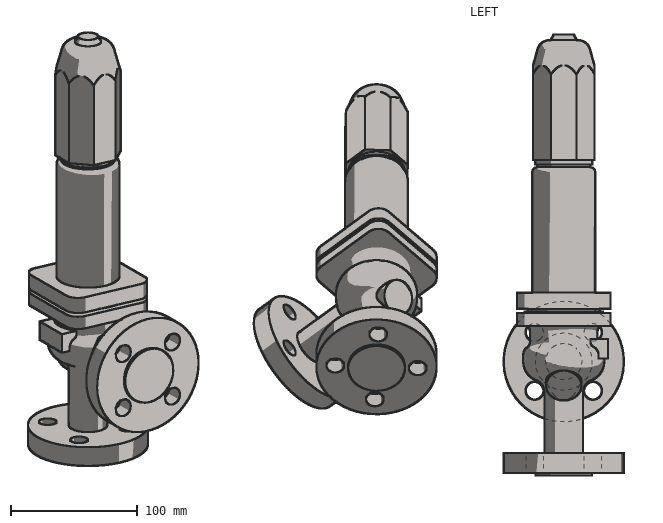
import cadquery as cq
import math

TOTAL_HEIGHT = 348.2
TOTAL_LENGTH = 137.5

FLANGE_DIAMETER = 95.0
FLANGE_THICKNESS = 16.0
RAISED_FACE_DIAMETER = 45.0
RAISED_FACE_HEIGHT = 2.0
BOLT_CIRCLE_DIAMETER = 65.0
BOLT_HOLE_DIAMETER = 14.0
BOLT_COUNT = 4
OUTLET_FACE_X = TOTAL_LENGTH - FLANGE_DIAMETER / 2
OUTLET_AXIS_Z = OUTLET_FACE_X

INLET_PIPE_RADIUS = 15.3
OUTLET_PIPE_RADIUS = 28.5 / 2

BULB_RADIUS = 32.0
BULB_LOWER_ROUND = 15.5
BULB_UPPER_ROUND = 7.5
BULB_STRAIGHT_HEIGHT = 5.2
INLET_BLEND = 10.5
NECK_RADIUS = 26.8
NECK_BLEND = 4.0

PLATE_SIDE = 73.8
PLATE_CORNER_RADIUS = 11.0
LOWER_PLATE_BOTTOM = 118.0
LOWER_PLATE_THICKNESS = 10.5
GASKET_RADIUS = 31.0
GASKET_HEIGHT = 1.0
SPIGOT_RADIUS = 28.5
SPIGOT_HEIGHT = 2.0
UPPER_PLATE_THICKNESS = 13.0
LOWER_PLATE_TOP = LOWER_PLATE_BOTTOM + LOWER_PLATE_THICKNESS
GASKET_TOP = LOWER_PLATE_TOP + GASKET_HEIGHT
UPPER_PLATE_BOTTOM = GASKET_TOP + SPIGOT_HEIGHT
UPPER_PLATE_TOP = UPPER_PLATE_BOTTOM + UPPER_PLATE_THICKNESS

HOUSING_DIAMETER = 49.8
HOUSING_RADIUS = HOUSING_DIAMETER / 2
HOUSING_TOP = 243.5
HOUSING_ROUND = 4.0
GROOVE_RADIUS = HOUSING_RADIUS - HOUSING_ROUND

CAP_FLATS = 48.7
CAP_SIDES = 8
CAP_BOTTOM = 249.0
CAP_COLLAR_RADIUS = 22.5
CAP_COLLAR_BOTTOM = 245.5
CONE_ANGLE = math.radians(15.6)
CONE_TOP_RADIUS = 21.0
CONE_TOP = 336.5
DOME_RADIUS = 10.0
BUTTON_TOP_RADIUS = 8.0
BUTTON_BASE_RADIUS = 10.5

DRAIN_RADIUS = 14.0
DRAIN_TILT = math.radians(32)
DRAIN_FACE_X = -23.5
DRAIN_FACE_Z = 71.0
DRAIN_LENGTH = 21.0

PAD_WIDTH = 32.7
PAD_BOTTOM = 92.3
PAD_TOP = 108.0
PAD_FACE_Y = -34.8


def cylinder(radius, bottom, top):
    return cq.Workplane("XY").workplane(offset=bottom).circle(radius).extrude(top - bottom)


def connection(pipe_radius, pipe_length):
    """Flanged pipe whose sealing face lies at Z = 0 and whose pipe runs upwards."""
    flange_top = RAISED_FACE_HEIGHT + FLANGE_THICKNESS
    holes = (
        cq.Workplane("XY")
        .polarArray(BOLT_CIRCLE_DIAMETER / 2, 180 / BOLT_COUNT, 360, BOLT_COUNT)
        .circle(BOLT_HOLE_DIAMETER / 2)
        .extrude(flange_top)
    )
    return (
        cylinder(FLANGE_DIAMETER / 2, RAISED_FACE_HEIGHT, flange_top)
        .cut(holes)
        .union(cylinder(RAISED_FACE_DIAMETER / 2, 0, RAISED_FACE_HEIGHT))
        .union(cylinder(pipe_radius, 0, pipe_length))
    )


def blend_points(bulb_round, stem_radius, blend, round_z, side):
    """Points of the S-curve from the bulb side to a stem; side is +1 upwards, -1 downwards.

    Returns the middle and end of the bulb round, then the middle and end of the stem blend.
    """
    round_r = BULB_RADIUS - bulb_round
    blend_r = stem_radius + blend
    angle = math.acos((blend_r - round_r) / (bulb_round + blend))
    blend_z = round_z + side * (bulb_round + blend) * math.sin(angle)

    def on_round(a):
        return round_r + bulb_round * math.cos(a), round_z + side * bulb_round * math.sin(a)

    def on_blend(a):
        return blend_r - blend * math.cos(a), blend_z - side * blend * math.sin(a)

    return on_round(angle / 2), on_round(angle), on_blend(angle / 2), on_blend(0)


def make_body():
    """Turned body from the inlet pipe through the bulb and neck to the lower plate."""
    upper_round_z = OUTLET_AXIS_Z + BULB_STRAIGHT_HEIGHT
    lower_round_middle, lower_round_end, inlet_blend_middle, inlet_blend_end = blend_points(
        BULB_LOWER_ROUND, INLET_PIPE_RADIUS, INLET_BLEND, OUTLET_AXIS_Z, -1
    )
    upper_round_middle, upper_round_end, neck_blend_middle, neck_blend_end = blend_points(
        BULB_UPPER_ROUND, NECK_RADIUS, NECK_BLEND, upper_round_z, 1
    )
    flare_middle = NECK_BLEND * (1 - math.sqrt(0.5))
    profile = (
        cq.Workplane("XZ")
        .moveTo(0, inlet_blend_end[1])
        .lineTo(*inlet_blend_end)
        .threePointArc(inlet_blend_middle, lower_round_end)
        .threePointArc(lower_round_middle, (BULB_RADIUS, OUTLET_AXIS_Z))
        .lineTo(BULB_RADIUS, upper_round_z)
        .threePointArc(upper_round_middle, upper_round_end)
        .threePointArc(neck_blend_middle, neck_blend_end)
        .lineTo(NECK_RADIUS, LOWER_PLATE_BOTTOM - NECK_BLEND)
        .threePointArc(
            (NECK_RADIUS + flare_middle, LOWER_PLATE_BOTTOM - flare_middle),
            (NECK_RADIUS + NECK_BLEND, LOWER_PLATE_BOTTOM),
        )
        .lineTo(0, LOWER_PLATE_BOTTOM)
        .close()
    )
    return profile.revolve(360, (0, 0, 0), (0, 1, 0))


def square_plate(bottom, thickness):
    plate = cq.Workplane("XY").workplane(offset=bottom).rect(PLATE_SIDE, PLATE_SIDE).extrude(thickness)
    return plate.edges("|Z").fillet(PLATE_CORNER_RADIUS)


def make_plates():
    return (
        square_plate(LOWER_PLATE_BOTTOM, LOWER_PLATE_THICKNESS)
        .union(cylinder(GASKET_RADIUS, LOWER_PLATE_TOP, GASKET_TOP))
        .union(cylinder(SPIGOT_RADIUS, GASKET_TOP, UPPER_PLATE_BOTTOM))
        .union(square_plate(UPPER_PLATE_BOTTOM, UPPER_PLATE_THICKNESS))
    )


def make_housing():
    housing = cylinder(HOUSING_RADIUS, UPPER_PLATE_TOP, HOUSING_TOP)
    return housing.faces(">Z").edges().fillet(HOUSING_ROUND)


def make_cap():
    """Octagonal prism trimmed by a turned cone, dome and button, on a round collar and neck."""
    prism = (
        cq.Workplane("XY")
        .workplane(offset=CAP_BOTTOM)
        .polygon(CAP_SIDES, CAP_FLATS, circumscribed=True)
        .extrude(TOTAL_HEIGHT - CAP_BOTTOM)
    )
    cone_base_radius = CONE_TOP_RADIUS + (CONE_TOP - CAP_BOTTOM) * math.tan(CONE_ANGLE)
    dome_r = CONE_TOP_RADIUS - DOME_RADIUS * math.cos(CONE_ANGLE)
    dome_z = CONE_TOP - DOME_RADIUS * math.sin(CONE_ANGLE)
    dome_middle = (CONE_ANGLE + math.pi / 2) / 2
    turned = (
        cq.Workplane("XZ")
        .moveTo(0, CAP_BOTTOM)
        .lineTo(cone_base_radius, CAP_BOTTOM)
        .lineTo(CONE_TOP_RADIUS, CONE_TOP)
        .threePointArc(
            (dome_r + DOME_RADIUS * math.cos(dome_middle), dome_z + DOME_RADIUS * math.sin(dome_middle)),
            (dome_r, dome_z + DOME_RADIUS),
        )
        .lineTo(BUTTON_BASE_RADIUS, dome_z + DOME_RADIUS)
        .lineTo(BUTTON_TOP_RADIUS, TOTAL_HEIGHT)
        .lineTo(0, TOTAL_HEIGHT)
        .close()
        .revolve(360, (0, 0, 0), (0, 1, 0))
    )
    collar = cylinder(CAP_COLLAR_RADIUS, CAP_COLLAR_BOTTOM, CAP_BOTTOM)
    groove_neck = cylinder(GROOVE_RADIUS, HOUSING_TOP, CAP_COLLAR_BOTTOM)
    return prism.intersect(turned).union(collar).union(groove_neck)


def make_drain_boss():
    inward = cq.Vector(math.cos(DRAIN_TILT), 0, math.sin(DRAIN_TILT))
    face_center = cq.Vector(DRAIN_FACE_X, 0, DRAIN_FACE_Z)
    return cq.Workplane(cq.Solid.makeCylinder(DRAIN_RADIUS, DRAIN_LENGTH, face_center, inward))


def make_name_pad():
    return (
        cq.Workplane("XY")
        .workplane(offset=PAD_BOTTOM)
        .center(0, PAD_FACE_Y / 2)
        .rect(PAD_WIDTH, -PAD_FACE_Y)
        .extrude(PAD_TOP - PAD_BOTTOM)
    )


inlet = connection(INLET_PIPE_RADIUS, OUTLET_AXIS_Z)
outlet = (
    connection(OUTLET_PIPE_RADIUS, OUTLET_FACE_X)
    .rotate((0, 0, 0), (0, 1, 0), -90)
    .translate((OUTLET_FACE_X, 0, OUTLET_AXIS_Z))
)
result = (
    make_body()
    .union(inlet)
    .union(outlet)
    .union(make_drain_boss())
    .union(make_name_pad())
    .union(make_plates())
    .union(make_housing())
    .union(make_cap())
)